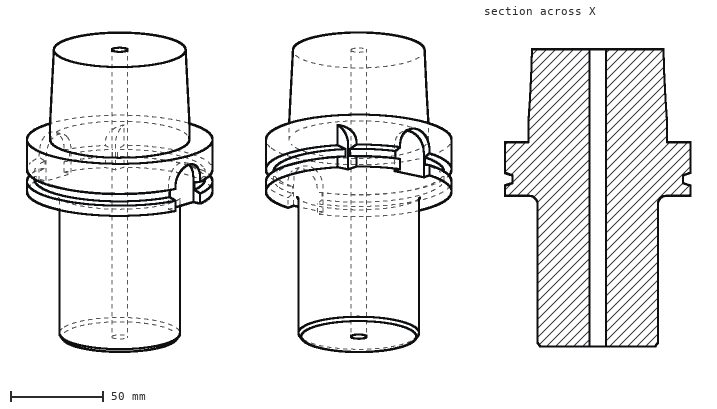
import math

import cadquery as cq

taper_height = 50.0
collar_height = 10.0
flange_thickness = 29.0
total_length = 160.0
shank_end = taper_height - total_length

tip_diameter = 71.0
collar_diameter = 75.0
flange_diameter = 100.0
groove_diameter = 92.0
shank_diameter = 65.0
bore_diameter = 8.5

groove_level = -20.0
groove_floor_width = 4.0
groove_mouth_width = 6.6

neck_fillet = 4.5
end_chamfer_width = 1.5
end_chamfer_height = 2.0

slot_width = 20.0
slot_top = -5.0
key_slot_floor = 44.0
notch_floor = 31.4
notch_wall = 31.8


def turned_body():
    """Solid of revolution: taper, collar, grooved flange and shank."""
    flange_radius = flange_diameter / 2
    groove_radius = groove_diameter / 2
    collar_radius = collar_diameter / 2
    shank_radius = shank_diameter / 2
    neck_radius = shank_radius + neck_fillet
    neck_end = -flange_thickness - neck_fillet
    arc_inset = neck_fillet * (1 - math.sqrt(0.5))
    neck_arc = (shank_radius + arc_inset, -flange_thickness - arc_inset)
    profile = (
        cq.Workplane("XZ")
        .moveTo(0, taper_height)
        .lineTo(tip_diameter / 2, taper_height)
        .lineTo(collar_radius, collar_height)
        .lineTo(collar_radius, 0)
        .lineTo(flange_radius, 0)
        .lineTo(flange_radius, groove_level + groove_mouth_width / 2)
        .lineTo(groove_radius, groove_level + groove_floor_width / 2)
        .lineTo(groove_radius, groove_level - groove_floor_width / 2)
        .lineTo(flange_radius, groove_level - groove_mouth_width / 2)
        .lineTo(flange_radius, -flange_thickness)
        .lineTo(neck_radius, -flange_thickness)
        .threePointArc(neck_arc, (shank_radius, neck_end))
        .lineTo(shank_radius, shank_end + end_chamfer_height)
        .lineTo(shank_radius - end_chamfer_width, shank_end)
        .lineTo(0, shank_end)
        .close()
    )
    return profile.revolve(360, (0, 0, 0), (0, 1, 0))


def slot_cutter(floor_distance, center_y):
    """Round-topped cutter entering from the -X side and ending at the slot floor."""
    slot_radius = slot_width / 2
    spring_level = slot_top - slot_radius
    return (
        cq.Workplane("YZ", origin=(-flange_diameter, 0, 0))
        .moveTo(center_y - slot_radius, -flange_thickness)
        .lineTo(center_y - slot_radius, spring_level)
        .threePointArc((center_y, slot_top), (center_y + slot_radius, spring_level))
        .lineTo(center_y + slot_radius, -flange_thickness)
        .close()
        .extrude(flange_diameter - floor_distance)
    )


def key_slots():
    """Two opposite driving slots, on the -X and +X sides."""
    slot = slot_cutter(key_slot_floor, 0)
    return slot.union(slot.rotate((0, 0, 0), (0, 0, 1), 180))


def orientation_notch():
    """Corner notch between -X and +Y: a flat floor facing -X and one wall facing +Y."""
    return slot_cutter(notch_floor, notch_wall + slot_width / 2)


def coolant_bore():
    """Bore along the axis through the full length."""
    return (
        cq.Workplane("XY", origin=(0, 0, shank_end))
        .circle(bore_diameter / 2)
        .extrude(total_length)
    )


result = turned_body().cut(key_slots()).cut(orientation_notch()).cut(coolant_bore())